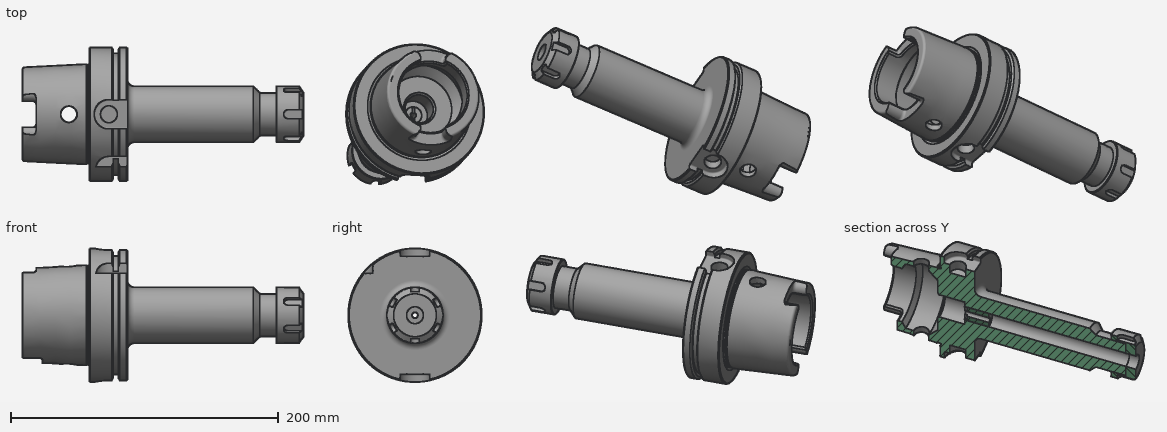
import cadquery as cq
import math


tail_x = -50.0
nut_front_x = 160.0

taper_large_r = 37.5
taper_large_x = -2.5
taper_slope = 0.05
tail_round = 2.0
relief_r = 36.9
relief_end_x = -0.7
relief_flank = 0.7
collar_r = 37.2

flange_r = 50.0
flange_width = 28.5
flange_chamfer = 0.8
face_undercut_r = 39.4
face_undercut_depth = 0.8
groove_center_x = 19.7
groove_bottom_r = 45.6
groove_bottom_width = 3.8
groove_flank_depth = 2.0
groove_flank_angle = 30.0

body_r = 21.0
body_root_fillet = 5.0
body_end_x = 122.4
neck_r = 16.0
neck_end_x = 152.0

cavity_r = 26.1
cavity_edge_chamfer = 1.2
cavity_straight_end_x = -31.0
clamp_shoulder_angle = 60.0
undercut_r = 31.5
undercut_end_x = -9.0
cavity_floor_r = 24.5
tube_bore_r = 10.7
tube_bore_chamfer = 1.5
tube_bore_end_x = 20.0
bore_r = 6.3

tail_slot_half_width = 9.6
tail_slot_flare_r = 5.4
tail_slot_flare_start = 26.6
tail_slot_corner_r = 2.2
upper_tail_slot_end_x = -39.8
lower_tail_slot_end_x = -35.0

cross_hole_d = 12.0
cross_hole_x = -15.3

keyway_r = 11.0
keyway_center_x = 14.6
keyway_floor_z = 44.0
keyway_floor_fillet = 1.2
keyway_hole_d = 12.6
keyway_hole_depth = 8.0

notch_floor_z = 31.2
notch_wall_y = -31.5
notch_end_r = 10.0

nut_back_x = 139.5
nut_r = 21.0
nut_back_chamfer = 0.5
nut_cone_start_x = 156.6
nut_front_r = 16.0
nut_slot_count = 6
nut_slot_width = 6.6
nut_slot_start_x = 145.1
nut_slot_floor_r = 17.4

screw_length = 20.0
screw_hole_r = 2.1
screw_slot_width = 2.1
screw_slot_depth = 2.0

overcut = 5.0


def revolve_about_x(profile):
    return profile.close().revolve(360, (0, 0, 0), (1, 0, 0))


def cylinder_x(radius, start_x, end_x):
    return cq.Workplane("YZ").workplane(offset=start_x).circle(radius).extrude(end_x - start_x)


def cylinder_z(diameter, center_x, bottom_z, height):
    return (
        cq.Workplane("XY", origin=(center_x, 0, bottom_z))
        .circle(diameter / 2)
        .extrude(height)
    )


def holder_blank():
    tail_r = taper_large_r + taper_slope * (tail_x - taper_large_x)
    round_end_r = tail_r + taper_slope * tail_round
    round_mid = tail_round * (1 - math.cos(math.radians(45)))
    root_mid = body_root_fillet * (1 - math.cos(math.radians(45)))
    cone_length = body_r - neck_r
    profile = (
        cq.Workplane("XY")
        .moveTo(tail_x, 0)
        .lineTo(tail_x, round_end_r - tail_round)
        .threePointArc((tail_x + round_mid, round_end_r - round_mid), (tail_x + tail_round, round_end_r))
        .lineTo(taper_large_x, taper_large_r)
        .lineTo(taper_large_x + relief_flank, relief_r)
        .lineTo(relief_end_x, relief_r)
        .lineTo(relief_end_x, collar_r)
        .lineTo(face_undercut_depth, collar_r)
        .lineTo(0, face_undercut_r)
        .lineTo(0, flange_r - flange_chamfer)
        .lineTo(flange_chamfer, flange_r)
        .lineTo(flange_width - flange_chamfer, flange_r)
        .lineTo(flange_width, flange_r - flange_chamfer)
        .lineTo(flange_width, body_r + body_root_fillet)
        .threePointArc(
            (flange_width + root_mid, body_r + root_mid),
            (flange_width + body_root_fillet, body_r),
        )
        .lineTo(body_end_x, body_r)
        .lineTo(body_end_x + cone_length, neck_r)
        .lineTo(neck_end_x, neck_r)
        .lineTo(neck_end_x, 0)
    )
    return revolve_about_x(profile)


def gripper_groove():
    half_bottom = groove_bottom_width / 2
    half_top = half_bottom + groove_flank_depth * math.tan(math.radians(groove_flank_angle))
    flank_r = flange_r - groove_flank_depth
    profile = (
        cq.Workplane("XY")
        .moveTo(groove_center_x - half_bottom, groove_bottom_r)
        .lineTo(groove_center_x - half_bottom, flank_r)
        .lineTo(groove_center_x - half_top, flange_r)
        .lineTo(groove_center_x - half_top, flange_r + overcut)
        .lineTo(groove_center_x + half_top, flange_r + overcut)
        .lineTo(groove_center_x + half_top, flange_r)
        .lineTo(groove_center_x + half_bottom, flank_r)
        .lineTo(groove_center_x + half_bottom, groove_bottom_r)
    )
    return revolve_about_x(profile)


def tail_cavity():
    shoulder_length = (undercut_r - cavity_r) / math.tan(math.radians(clamp_shoulder_angle))
    cavity_floor_x = undercut_end_x + undercut_r - cavity_floor_r
    profile = (
        cq.Workplane("XY")
        .moveTo(tail_x, 0)
        .lineTo(tail_x, cavity_r)
        .lineTo(cavity_straight_end_x, cavity_r)
        .lineTo(cavity_straight_end_x + shoulder_length, undercut_r)
        .lineTo(undercut_end_x, undercut_r)
        .lineTo(cavity_floor_x, cavity_floor_r)
        .lineTo(cavity_floor_x, tube_bore_r + tube_bore_chamfer)
        .lineTo(cavity_floor_x + tube_bore_chamfer, tube_bore_r)
        .lineTo(tube_bore_end_x, tube_bore_r)
        .lineTo(tube_bore_end_x, bore_r)
        .lineTo(neck_end_x, bore_r)
        .lineTo(neck_end_x, 0)
    )
    return revolve_about_x(profile)


def tail_slot(end_x, side):
    """Slot through the tail wall with walls that flare outwards; side is +1 for +Z and -1 for -Z."""
    flare_mid = tail_slot_flare_r * (1 - math.cos(math.radians(45)))
    flare_rise = tail_slot_flare_r * math.sin(math.radians(45))
    flare_half_width = tail_slot_half_width + tail_slot_flare_r
    flare_end_z = tail_slot_flare_start + tail_slot_flare_r
    top_z = taper_large_r + overcut
    slot = (
        cq.Workplane("YZ")
        .workplane(offset=tail_x)
        .moveTo(-tail_slot_half_width, 0)
        .lineTo(-tail_slot_half_width, tail_slot_flare_start)
        .threePointArc(
            (-tail_slot_half_width - flare_mid, tail_slot_flare_start + flare_rise),
            (-flare_half_width, flare_end_z),
        )
        .lineTo(-flare_half_width - overcut, flare_end_z)
        .lineTo(-flare_half_width - overcut, top_z)
        .lineTo(flare_half_width + overcut, top_z)
        .lineTo(flare_half_width + overcut, flare_end_z)
        .lineTo(flare_half_width, flare_end_z)
        .threePointArc(
            (tail_slot_half_width + flare_mid, tail_slot_flare_start + flare_rise),
            (tail_slot_half_width, tail_slot_flare_start),
        )
        .lineTo(tail_slot_half_width, 0)
        .close()
        .extrude(end_x - tail_x)
        .faces(">X")
        .edges("not(<Z or >Z or <Y or >Y)")
        .fillet(tail_slot_corner_r)
    )
    if side < 0:
        slot = slot.rotate((0, 0, 0), (1, 0, 0), 180)
    return slot


def keyway(side):
    """Round-ended keyway, open to the front of the flange, with a blind hole in its floor."""
    height = flange_r + overcut - keyway_floor_z
    open_end_x = flange_width + overcut
    pocket = (
        cq.Workplane("XY", origin=(0, 0, keyway_floor_z))
        .moveTo(open_end_x, keyway_r)
        .lineTo(keyway_center_x, keyway_r)
        .threePointArc((keyway_center_x - keyway_r, 0), (keyway_center_x, -keyway_r))
        .lineTo(open_end_x, -keyway_r)
        .close()
        .extrude(height)
        .faces("<Z")
        .edges("not >X")
        .fillet(keyway_floor_fillet)
    )
    hole = cylinder_z(
        keyway_hole_d, keyway_center_x, keyway_floor_z - keyway_hole_depth, keyway_hole_depth + height
    )
    cutter = pocket.union(hole)
    if side < 0:
        cutter = cutter.rotate((0, 0, 0), (1, 0, 0), 180)
    return cutter


def orientation_notch():
    end_diagonal = notch_end_r * math.cos(math.radians(45))
    arc_center_y = notch_wall_y - notch_end_r
    return (
        cq.Workplane("XY", origin=(0, 0, notch_floor_z))
        .moveTo(flange_width, notch_wall_y)
        .lineTo(keyway_center_x, notch_wall_y)
        .threePointArc(
            (keyway_center_x - end_diagonal, arc_center_y + end_diagonal),
            (keyway_center_x - notch_end_r, arc_center_y),
        )
        .lineTo(flange_width, arc_center_y)
        .close()
        .extrude(flange_r - notch_floor_z)
    )


def is_cavity_rim(edge):
    """True for the edges where the cavity wall meets the tail face and the tail slots."""
    tolerance = 0.01
    for vertex in edge.Vertices():
        on_wall = abs(math.hypot(vertex.Y, vertex.Z) - cavity_r) < tolerance
        if not on_wall or vertex.X > cavity_straight_end_x - tolerance:
            return False
    return True


def make_holder():
    holder = holder_blank().cut(gripper_groove()).cut(tail_cavity())
    for side, end_x in ((1, upper_tail_slot_end_x), (-1, lower_tail_slot_end_x)):
        holder = holder.cut(tail_slot(end_x, side))
        holder = holder.cut(keyway(side))
    holder = holder.edges().filter(is_cavity_rim).chamfer(cavity_edge_chamfer)
    holder = holder.cut(orientation_notch())
    return holder.cut(cylinder_z(cross_hole_d, cross_hole_x, -flange_r, 2 * flange_r))


def nut_blank():
    profile = (
        cq.Workplane("XY")
        .moveTo(nut_back_x, neck_r)
        .lineTo(nut_back_x, nut_r - nut_back_chamfer)
        .lineTo(nut_back_x + nut_back_chamfer, nut_r)
        .lineTo(nut_cone_start_x, nut_r)
        .lineTo(nut_front_x, nut_front_r)
        .lineTo(nut_front_x, bore_r)
        .lineTo(neck_end_x, bore_r)
        .lineTo(neck_end_x, neck_r)
    )
    return revolve_about_x(profile)


def spanner_slot():
    end_r = nut_slot_width / 2
    return (
        cq.Workplane("XY", origin=(0, 0, nut_slot_floor_r))
        .moveTo(nut_front_x, end_r)
        .lineTo(nut_slot_start_x + end_r, end_r)
        .threePointArc((nut_slot_start_x, 0), (nut_slot_start_x + end_r, -end_r))
        .lineTo(nut_front_x, -end_r)
        .close()
        .extrude(overcut)
    )


def make_nut():
    nut = nut_blank()
    for index in range(nut_slot_count):
        angle = index * 360 / nut_slot_count
        nut = nut.cut(spanner_slot().rotate((0, 0, 0), (1, 0, 0), angle))
    return nut


def make_screw():
    end_x = tube_bore_end_x + screw_length
    screw = cylinder_x(bore_r, tube_bore_end_x, end_x)
    screw = screw.cut(cylinder_x(screw_hole_r, tube_bore_end_x, end_x))
    slot = cq.Workplane("XY", origin=(tube_bore_end_x, 0, 0)).box(
        2 * screw_slot_depth, screw_slot_width, 2 * bore_r
    )
    return screw.cut(slot)


holder = make_holder()
nut = make_nut()
screw = make_screw()

result = cq.Compound.makeCompound([holder.val(), nut.val(), screw.val()])